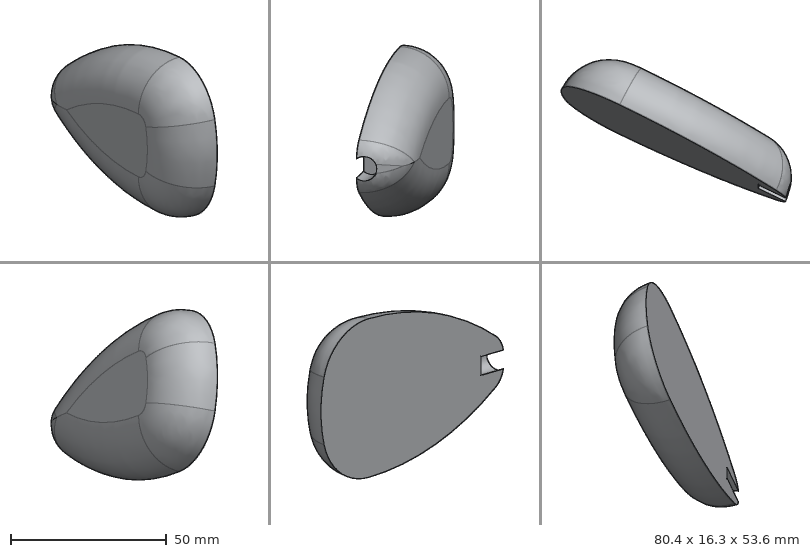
import cadquery as cq
import math

half_height = 26.79
depth = 16.25
round_radius = 16.0
straight_wall = depth - round_radius

side_radius = 95.5
corner_radius = 20.2
tail_radius = 48.0
tip_reach = 59.5
tip_corner_radius = 8.5

hole_radius = 4.0
hole_inset = 2.5
hole_depth = 10.0

side_center_z = half_height - side_radius
corner_center_z = half_height - corner_radius
tail_center_x = -math.sqrt((tail_radius - corner_radius) ** 2 - corner_center_z**2)
tail_end = tail_center_x + tail_radius


def rounded_profile(reach):
    """Closed XY section from X = 0 out to reach, with the outer front edge rounded."""
    round_start = reach - round_radius
    diagonal = round_radius * math.sqrt(0.5)
    return (
        cq.Workplane("XY")
        .lineTo(reach, 0)
        .lineTo(reach, -straight_wall)
        .threePointArc((round_start + diagonal, -straight_wall - diagonal), (round_start, -depth))
        .lineTo(0, -depth)
        .close()
    )


def side_disc(center_z):
    """Rounded disc whose rim forms one long side of the body."""
    return rounded_profile(side_radius).revolve(360, (0, 0, 0), (0, 1, 0)).translate((0, 0, center_z))


def tip_slab():
    """Slab on the -X half, ending at the tip in a wall rounded towards the front."""
    slab = rounded_profile(tip_reach).extrude(half_height, both=True)
    return slab.mirror("YZ")


def make_nose():
    """Tapered half: two side discs and the tip slab in common, with the two tip corners rounded off."""
    nose = side_disc(side_center_z).intersect(side_disc(-side_center_z)).intersect(tip_slab())
    tip_corners = nose.edges("|Y").edges("<X")
    return tip_corners.fillet(tip_corner_radius)


def make_tail():
    """Broad half: two corner arcs joined by the tail arc, rounded along its front edge."""
    tail_angle = math.atan2(corner_center_z, -tail_center_x)
    joint_x = tail_center_x + tail_radius * math.cos(tail_angle)
    joint_z = tail_radius * math.sin(tail_angle)
    mid_angle = (tail_angle + math.pi / 2) / 2
    mid_x = corner_radius * math.cos(mid_angle)
    mid_z = corner_center_z + corner_radius * math.sin(mid_angle)
    tail = (
        cq.Workplane("XZ")
        .moveTo(0, -half_height)
        .threePointArc((mid_x, -mid_z), (joint_x, -joint_z))
        .threePointArc((tail_end, 0), (joint_x, joint_z))
        .threePointArc((mid_x, mid_z), (0, half_height))
        .close()
        .extrude(depth)
    )
    return tail.faces("<Y").edges("not <X").fillet(round_radius)


def cord_hole():
    """Cylinder along X from the tip wall inwards, partly breaking through the flat back."""
    return (
        cq.Workplane("YZ")
        .workplane(offset=-tip_reach)
        .center(-hole_inset, 0)
        .circle(hole_radius)
        .extrude(hole_depth)
    )


result = make_nose().union(make_tail()).clean().cut(cord_hole())